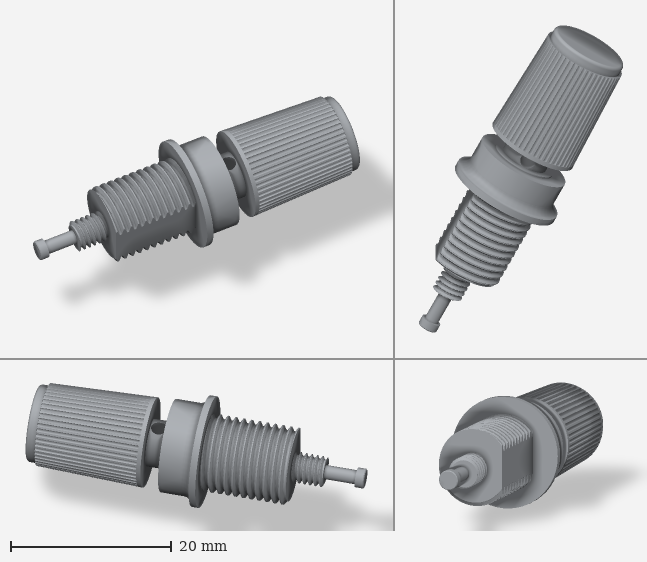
import cadquery as cq
import math


flange_radius = 7.04
flange_thickness = 0.85
collar_radius = 5.9
collar_end = 5.0
shank_length = 11.0
shank_crest_radius = 9.79 / 2
shank_root_radius = 8.77 / 2
shank_pitch = 1.0
shank_flat_x = 3.75
shank_groove_lift = 0.5
flank_steps = 6
flare_radius = flange_radius - collar_radius

stem_radius = 3.0
wire_hole_radius = 1.0
tail_shank_radius = 2.0
tail_length = 4.0
tail_crest_radius = 3.91 / 2
tail_root_radius = 3.11 / 2
tail_pitch = 0.7
tail_groove_lift = 0.15
pin_radius = 1.77 / 2
pin_length = 4.0
pin_head_radius = 1.25
pin_head_length = 1.1
pin_head_chamfer = 0.1
tail_end = -shank_length - tail_length
pin_head_start = tail_end - pin_length
post_end = pin_head_start - pin_head_length

ring_radius = 4.0
ring_start = flange_thickness + flare_radius
ring_end = collar_end + 0.2
wire_hole_y = ring_end + wire_hole_radius

knob_start = 7.3
rim_length = 0.55
cap_start = 20.9
knob_end = 22.2
cap_radius = 9.79 / 2
cap_fillet = 0.4
grip_start_radius = 5.7
grip_end_radius = 5.23
flute_count = 50
flute_radius = 0.22
socket_depth = 9.0
socket_end = knob_start + socket_depth


def cylinder(radius, y_start, y_end):
    """Cylinder along Y between two stations."""
    disc = cq.Workplane("XZ", origin=(0, y_start, 0)).circle(radius)
    return disc.extrude(y_start - y_end)


def threaded_rod(crest_radius, root_radius, pitch, y_start, y_end, groove_lift):
    """Rod along Y with a right-hand 60 degree thread that runs out through both ends.

    Cut square across, a single-start thread is a cam shape: a root arc and a crest arc joined by two
    spiral flanks. Twisting that shape one turn per pitch makes the thread.
    """
    root_half_angle = math.pi / 4
    flank_width = (crest_radius - root_radius) * math.tan(math.radians(30))
    flank_angle = 2 * math.pi * flank_width / pitch

    def flank_point(fraction, side):
        radius = root_radius + fraction * (crest_radius - root_radius)
        angle = side * (root_half_angle + fraction * flank_angle)
        return cq.Vector(radius * math.cos(angle), radius * math.sin(angle))

    def flank(side):
        return cq.Edge.makeSpline([flank_point(i / flank_steps, side) for i in range(flank_steps + 1)])

    root = cq.Edge.makeThreePointArc(flank_point(0, -1), cq.Vector(root_radius, 0), flank_point(0, 1))
    crest = cq.Edge.makeThreePointArc(flank_point(1, 1), cq.Vector(-crest_radius, 0), flank_point(1, -1))
    section = cq.Wire.assembleEdges([root, flank(1), crest, flank(-1)])

    length = y_end - y_start
    slice_count = math.ceil(length / pitch)
    slice_length = length / slice_count
    slice_turn = 360 * slice_length / pitch
    first_slice = (
        cq.Workplane(obj=section)
        .toPending()
        .twistExtrude(slice_length, slice_turn)
        .rotate((0, 0, 0), (0, 0, 1), -90 - 360 * groove_lift / pitch)
        .rotate((0, 0, 0), (1, 0, 0), -90)
        .translate((0, y_start, 0))
    )
    rod = first_slice
    for i in range(1, slice_count):
        turned_slice = first_slice.rotate((0, 0, 0), (0, 1, 0), i * slice_turn)
        rod = rod.union(turned_slice.translate((0, i * slice_length, 0)))
    return rod


def make_housing():
    collar = (
        cq.Workplane("XY")
        .moveTo(0, 0)
        .lineTo(flange_radius, 0)
        .lineTo(flange_radius, flange_thickness)
        .radiusArc((collar_radius, flange_thickness + flare_radius), flare_radius)
        .lineTo(collar_radius, collar_end)
        .lineTo(0, collar_end)
        .close()
        .revolve(360, (0, 0), (0, 1))
    )
    shank = threaded_rod(
        shank_crest_radius, shank_root_radius, shank_pitch, -shank_length, 0, shank_groove_lift
    )
    beyond_flat = cq.Workplane("XY").box(
        flange_radius, shank_length, 2 * flange_radius, centered=(False, False, True)
    )
    shank = shank.cut(beyond_flat.translate((shank_flat_x, -shank_length, 0)))
    stem_bore = cylinder(stem_radius, 0, collar_end)
    ring_seat = cylinder(ring_radius, ring_start, collar_end)
    post_bore = cylinder(tail_shank_radius, -shank_length, 0)
    return collar.union(shank).cut(ring_seat).cut(stem_bore).cut(post_bore)


def make_post():
    stem = cylinder(stem_radius, 0, socket_end)
    wire_hole = (
        cq.Workplane("XY", origin=(0, wire_hole_y, 0))
        .circle(wire_hole_radius)
        .extrude(stem_radius, both=True)
    )
    inner_shank = cylinder(tail_shank_radius, -shank_length, 0)
    tail = threaded_rod(
        tail_crest_radius, tail_root_radius, tail_pitch, tail_end, -shank_length, tail_groove_lift
    )
    pin = cylinder(pin_radius, pin_head_start, tail_end)
    head = cylinder(pin_head_radius, post_end, pin_head_start).faces("<Y").chamfer(pin_head_chamfer)
    return stem.cut(wire_hole).union(inner_shank).union(tail).union(pin).union(head)


def make_ring():
    return cylinder(ring_radius, ring_start, ring_end).cut(
        cylinder(stem_radius, ring_start, ring_end)
    )


def make_insert():
    return cylinder(ring_radius, knob_start, socket_end).cut(
        cylinder(stem_radius, knob_start, socket_end)
    )


def make_flutes():
    """Round grooves down the grip, from the rim out through the cap shoulder."""
    taper = (grip_start_radius - grip_end_radius) / (cap_start - knob_start)
    flute_start = knob_start + rim_length
    flute_start_radius = grip_start_radius - taper * rim_length
    flute_length = cap_start - flute_start
    flute = cq.Solid.makeCylinder(
        flute_radius,
        flute_length * math.hypot(1, taper),
        cq.Vector(0, flute_start, flute_start_radius),
        cq.Vector(0, 1, -taper),
    )
    step = 360 / flute_count
    return [flute.rotate((0, 0, 0), (0, 1, 0), i * step) for i in range(flute_count)]


def make_knob():
    knob = (
        cq.Workplane("XY")
        .moveTo(0, knob_start)
        .lineTo(grip_start_radius, knob_start)
        .lineTo(grip_end_radius, cap_start)
        .lineTo(cap_radius, cap_start)
        .lineTo(cap_radius, knob_end)
        .lineTo(0, knob_end)
        .close()
        .revolve(360, (0, 0), (0, 1))
        .faces(">Y")
        .edges()
        .fillet(cap_fillet)
    )
    knob = knob.cut(cq.Workplane(obj=cq.Compound.makeCompound(make_flutes())))
    return knob.cut(cylinder(ring_radius, knob_start, socket_end))


housing = make_housing()
post = make_post()
ring = make_ring()
insert = make_insert()
knob = make_knob()

result = cq.Compound.makeCompound(
    [housing.val(), post.val(), ring.val(), insert.val(), knob.val()]
)